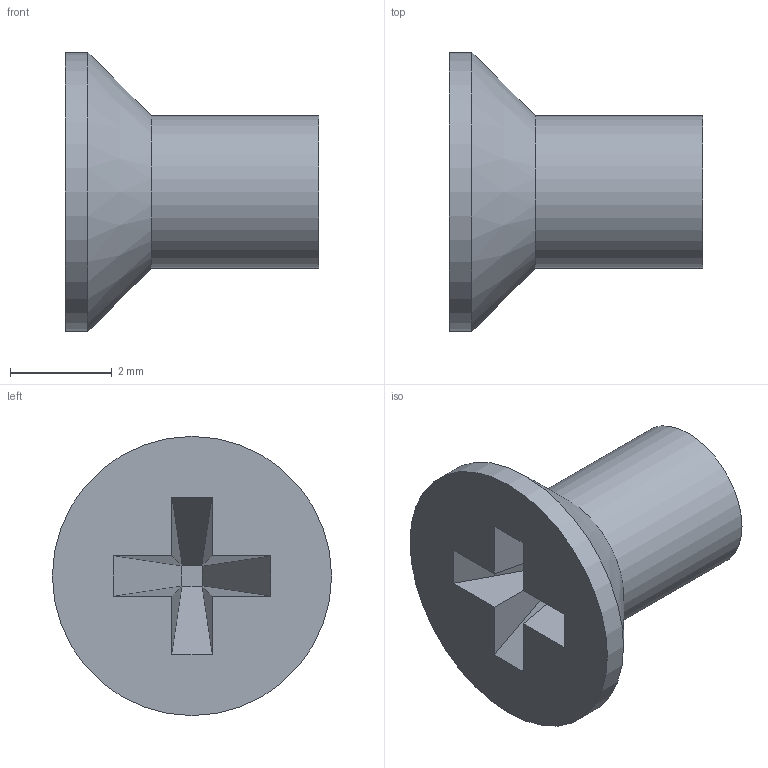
import cadquery as cq

total_length = 5.0
head_diameter = 5.5
shank_diameter = 3.0
head_height = 1.7

recess_span = 3.1
recess_arm_width = 0.8
recess_floor_width = 0.4
recess_depth = 2.0

head_radius = head_diameter / 2
shank_radius = shank_diameter / 2
cone_height = head_radius - shank_radius
rim_height = head_height - cone_height


def screw_body():
    """Rim, cone and shank revolved about the X axis."""
    half_profile = [
        (0, 0),
        (0, head_radius),
        (rim_height, head_radius),
        (head_height, shank_radius),
        (total_length, shank_radius),
        (total_length, 0),
    ]
    return cq.Workplane("XZ").polyline(half_profile).close().revolve(360, (0, 0), (1, 0))


def recess_bar(size_y, size_z):
    """One tapered bar of the cross, narrowing from the head face to the square floor."""
    return (
        cq.Workplane("YZ")
        .rect(size_y, size_z)
        .workplane(offset=recess_depth)
        .rect(recess_floor_width, recess_floor_width)
        .loft(ruled=True)
    )


result = (
    screw_body()
    .cut(recess_bar(recess_span, recess_arm_width))
    .cut(recess_bar(recess_arm_width, recess_span))
)